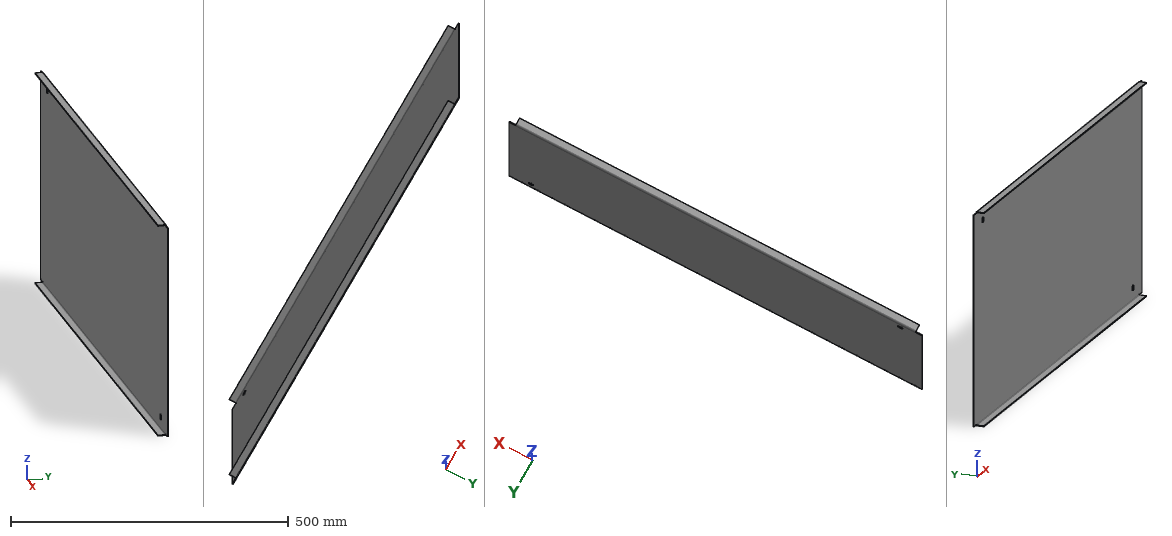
import cadquery as cq
import math

panel_length = 844.0
panel_height = 406.0
sheet = 2.0
flange_reach = 13.5
panel_depth = flange_reach + sheet
bend_inner_radius = 0.5
bend_outer_radius = bend_inner_radius + sheet
flange_setback = 13.5

hole_diameter = 10.0
hole_end_inset = 45.0
hole_edge_inset = 24.5

flange_length = panel_length - 2 * flange_setback
web_height = panel_height - 2 * bend_outer_radius
back_y = panel_depth / 2
front_y = -panel_depth / 2


def make_web():
    """Flat sheet between the two bend lines, running the full panel length."""
    web_center_y = back_y - sheet / 2
    return cq.Workplane("XY").box(panel_length, sheet, web_height).translate((0, web_center_y, 0))


def make_top_flange():
    """Quarter-round bend and forward flange along the top edge."""
    bend_y = back_y - bend_outer_radius
    bend_z = web_height / 2
    diagonal = math.sqrt(2) / 2
    outer_mid = bend_outer_radius * diagonal
    inner_mid = bend_inner_radius * diagonal
    top_z = panel_height / 2
    return (
        cq.Workplane("YZ")
        .moveTo(back_y, bend_z)
        .threePointArc((bend_y + outer_mid, bend_z + outer_mid), (bend_y, top_z))
        .lineTo(front_y, top_z)
        .lineTo(front_y, top_z - sheet)
        .lineTo(bend_y, top_z - sheet)
        .threePointArc((bend_y + inner_mid, bend_z + inner_mid), (back_y - sheet, bend_z))
        .close()
        .extrude(flange_length / 2, both=True)
    )


def make_holes():
    """Cutters for the round holes in two diagonally opposite corners."""
    hole_x = panel_length / 2 - hole_end_inset
    hole_z = panel_height / 2 - hole_edge_inset
    return (
        cq.Workplane("XZ")
        .pushPoints([(-hole_x, hole_z), (hole_x, -hole_z)])
        .circle(hole_diameter / 2)
        .extrude(panel_depth, both=True)
    )


top_flange = make_top_flange()
bottom_flange = top_flange.mirror("XY")
result = make_web().union(top_flange).union(bottom_flange).cut(make_holes())